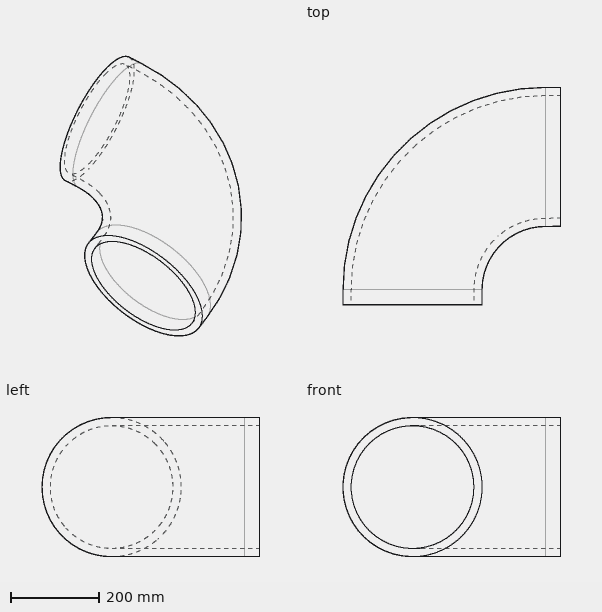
import cadquery as cq

overall_length = 492.5
outer_diameter = 315.0
wall_thickness = 18.5
collar_length = 34.5
bend_angle = 90.0

outer_radius = outer_diameter / 2
inner_radius = outer_radius - wall_thickness
bend_radius = overall_length - outer_radius - collar_length


def elbow(radius):
    """Solid round elbow, open towards -Y and +X, with a straight collar at each end.

    The origin is the centre of the joint between the -Y collar and the bend.
    """
    inlet = cq.Workplane("XZ").circle(radius).extrude(collar_length)
    bend = cq.Workplane("XZ").circle(radius).revolve(
        bend_angle, (bend_radius, 0), (bend_radius, -1)
    )
    outlet = (
        cq.Workplane("YZ", origin=(bend_radius, bend_radius, 0))
        .circle(radius)
        .extrude(collar_length)
    )
    return inlet.union(bend).union(outlet)


result = elbow(outer_radius).cut(elbow(inner_radius))